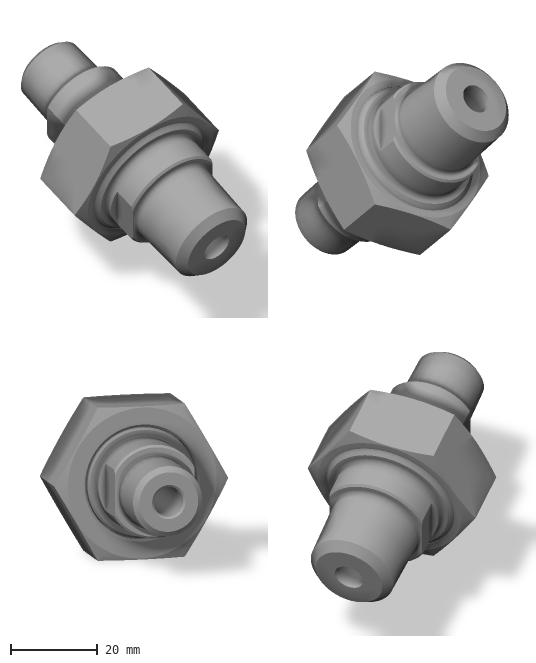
import cadquery as cq
import math


total_length = 66.0
bore_diameter = 7.0
bore_mouth_chamfer = 0.5
thread_taper = 1 / 16

tail_end_radius = 14.0 / 2
tail_end_chamfer = 1.23
tail_collar_radius = 22.0 / 2
tail_collar_start = 13.0
tail_journal_radius = 26.0 / 2
tail_journal_start = 24.4
tail_flange_radius = 30.38 / 2
tail_across_flats = 19.0
tail_flat_end = 22.0
tail_fillet = 0.4
tail_journal_fillet = 0.3

nut_start = 24.5
nut_length = 15.5
nut_across_flats = 36.0
nut_face_radius = 35.5 / 2
nut_chamfer_angle = 20.0
nut_hole_radius = 26.5 / 2
nut_hole_chamfer = 0.5
nut_lip = 4.0

body_thread_radius = 31.85 / 2
body_shoulder_radius = 29.5 / 2
body_shoulder_end = 41.0
body_collar_radius = 26.0 / 2
body_collar_end = 49.0
body_end_radius = 16.5 / 2
body_end_chamfer = 2.0
body_across_flats = 23.0
body_flat_start = 43.0
body_fillet = 0.8

collar_chamfer = 0.5
flat_runout_angle = 15.0
flange_thickness = 4.0
flat_cutter_margin = 1.0

nut_end = nut_start + nut_length
lip_inner_face = nut_start + nut_lip
joint_face = lip_inner_face + flange_thickness
bore_radius = bore_diameter / 2


def revolve_about_x(profile):
    """Turn a closed profile, drawn as (x, radius), into a solid of revolution about X."""
    return profile.close().revolve(360, (0, 0, 0), (1, 0, 0))


def add_arc(profile, end, centre, radius, towards):
    """Add an arc to `end` whose midpoint lies from `centre` in the direction `towards` (degrees)."""
    angle = math.radians(towards)
    middle = (centre[0] + radius * math.cos(angle), centre[1] + radius * math.sin(angle))
    return profile.threePointArc(middle, end)


def flat_cutter(across_flats, collar_radius, open_end, flat_end, side):
    """Prism that mills one wrench flat, on the +Y or -Y side, with a sloping inner end."""
    flat_distance = across_flats / 2
    outside = collar_radius + flat_cutter_margin
    direction = math.copysign(1, flat_end - open_end)
    runout = direction * (outside - flat_distance) * math.tan(math.radians(flat_runout_angle))
    outline = [
        (open_end, side * flat_distance),
        (flat_end, side * flat_distance),
        (flat_end + runout, side * outside),
        (open_end, side * outside),
    ]
    return cq.Workplane("XY").polyline(outline).close().extrude(collar_radius, both=True)


def cut_flats(solid, across_flats, collar_radius, open_end, flat_end):
    for side in (1, -1):
        solid = solid.cut(flat_cutter(across_flats, collar_radius, open_end, flat_end, side))
    return solid


def make_tailpiece():
    thread_start_radius = tail_end_radius + tail_end_chamfer
    thread_end = tail_collar_start - tail_fillet
    thread_end_radius = thread_start_radius + (thread_end - tail_end_chamfer) * thread_taper / 2
    neck = (tail_collar_start, thread_end_radius + tail_fillet)
    profile = (
        cq.Workplane("XY")
        .moveTo(bore_mouth_chamfer, bore_radius)
        .lineTo(0, bore_radius + bore_mouth_chamfer)
        .lineTo(0, tail_end_radius)
        .lineTo(tail_end_chamfer, thread_start_radius)
        .lineTo(thread_end, thread_end_radius)
    )
    profile = add_arc(profile, neck, (thread_end, neck[1]), tail_fillet, -45)
    profile = (
        profile.lineTo(tail_collar_start, tail_collar_radius - collar_chamfer)
        .lineTo(tail_collar_start + collar_chamfer, tail_collar_radius)
        .lineTo(tail_journal_start - tail_journal_fillet, tail_collar_radius)
    )
    root = (tail_journal_start, tail_collar_radius + tail_journal_fillet)
    centre = (root[0] - tail_journal_fillet, root[1])
    profile = add_arc(profile, root, centre, tail_journal_fillet, -45)
    profile = (
        profile.lineTo(tail_journal_start, tail_journal_radius - collar_chamfer)
        .lineTo(tail_journal_start + collar_chamfer, tail_journal_radius)
        .lineTo(lip_inner_face, tail_journal_radius)
        .lineTo(lip_inner_face, tail_flange_radius)
        .lineTo(joint_face, tail_flange_radius)
        .lineTo(joint_face, bore_radius)
    )
    solid = revolve_about_x(profile)
    return cut_flats(solid, tail_across_flats, tail_collar_radius, tail_collar_start, tail_flat_end)


def make_threaded_body():
    chamfer_start = total_length - body_end_chamfer
    thread_small_radius = body_end_radius + body_end_chamfer
    thread_start = body_collar_end + body_fillet
    thread_large_radius = thread_small_radius + (chamfer_start - thread_start) * thread_taper / 2
    cone_length = body_thread_radius - body_shoulder_radius
    profile = (
        cq.Workplane("XY")
        .moveTo(joint_face, bore_radius)
        .lineTo(joint_face, body_thread_radius)
        .lineTo(body_shoulder_end - cone_length, body_thread_radius)
        .lineTo(body_shoulder_end, body_shoulder_radius)
    )
    root = (body_shoulder_end, body_collar_radius + body_fillet)
    centre = (root[0] + body_fillet, root[1])
    profile = profile.lineTo(*root)
    profile = add_arc(profile, (centre[0], body_collar_radius), centre, body_fillet, 225)
    profile = (
        profile.lineTo(body_collar_end - collar_chamfer, body_collar_radius)
        .lineTo(body_collar_end, body_collar_radius - collar_chamfer)
    )
    neck = (body_collar_end, thread_large_radius + body_fillet)
    profile = profile.lineTo(*neck)
    profile = add_arc(
        profile, (thread_start, thread_large_radius), (thread_start, neck[1]), body_fillet, 225
    )
    profile = (
        profile.lineTo(chamfer_start, thread_small_radius)
        .lineTo(total_length, body_end_radius)
        .lineTo(total_length, bore_radius)
    )
    solid = revolve_about_x(profile)
    return cut_flats(solid, body_across_flats, body_collar_radius, body_collar_end, body_flat_start)


def make_nut():
    corner_radius = nut_across_flats / math.sqrt(3)
    chamfer_depth = (corner_radius - nut_face_radius) * math.tan(math.radians(nut_chamfer_angle))
    hexagon = (
        cq.Workplane("YZ", origin=(nut_start, 0, 0))
        .polygon(6, 2 * corner_radius)
        .extrude(nut_length)
    )
    turned = revolve_about_x(
        cq.Workplane("XY")
        .moveTo(nut_start, nut_hole_radius + nut_hole_chamfer)
        .lineTo(nut_start, nut_face_radius)
        .lineTo(nut_start + chamfer_depth, corner_radius)
        .lineTo(nut_end - chamfer_depth, corner_radius)
        .lineTo(nut_end, nut_face_radius)
        .lineTo(nut_end, body_thread_radius)
        .lineTo(lip_inner_face, body_thread_radius)
        .lineTo(lip_inner_face, nut_hole_radius)
        .lineTo(nut_start + nut_hole_chamfer, nut_hole_radius)
    )
    return hexagon.intersect(turned)


tailpiece = make_tailpiece()
threaded_body = make_threaded_body()
nut = make_nut()

result = cq.Compound.makeCompound([tailpiece.val(), threaded_body.val(), nut.val()])